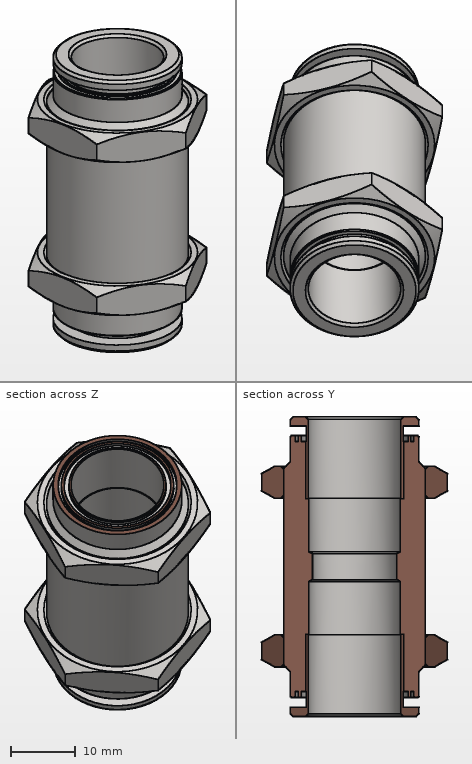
import cadquery as cq
import math

HALF_LENGTH = 23.25

NUT_FLATS = 25.0
NUT_FACE_DIA = 24.85
NUT_HEIGHT = 5.0
NUT_OUTER_Z = HALF_LENGTH - 7.65
NUT_INNER_Z = NUT_OUTER_Z - NUT_HEIGHT
NUT_CORNER_DIA = NUT_FLATS / math.cos(math.radians(30))
NUT_BEVEL_ANGLE = 30.0
NUT_MOUTH_DIA = 22.85

BARREL_DIA = 22.0
END_DIA = 20.0
BARREL_END_Z = HALF_LENGTH - 6.98
HOUSING_END_Z = HALF_LENGTH - 2.95
END_CHAMFER = 0.2
PASSAGE_DIA = 13.0
TUBE_SEAT_DIA = 14.15
TUBE_SEAT_Z = 2.32
TUBE_SEAT_SLOPE = 30.0
MOUTH_DIA = 16.5
MOUTH_DEPTH = 0.95
GROOVE_INNER_DIA = 17.5
GROOVE_OUTER_DIA = 18.3
GROOVE_DEPTH = 0.95

COLLET_BORE_DIA = 14.3
COLLET_NECK_DIA = 15.1
COLLET_MOUTH_DIA = 15.2
FLANGE_DIA = 20.0
FLANGE_THICKNESS = 1.5
FLANGE_CHAMFER = 0.45
COLLET_INNER_Z = NUT_INNER_Z


def revolve_profile(points):
    """Revolve a closed outline of (radius, height) points about Z."""
    return cq.Workplane("XZ").polyline(points).close().revolve(360, (0, 0), (0, 1))


def make_housing():
    """Symmetric tube with stepped, grooved ends, collet sockets and conical tube seats."""
    barrel_radius = BARREL_DIA / 2
    end_radius = END_DIA / 2
    shoulder_z = BARREL_END_Z - (barrel_radius - end_radius)
    seat_drop = (TUBE_SEAT_DIA - PASSAGE_DIA) / 2 * math.tan(math.radians(TUBE_SEAT_SLOPE))
    upper_outline = [
        (barrel_radius, shoulder_z),
        (end_radius, BARREL_END_Z),
        (end_radius, HOUSING_END_Z - END_CHAMFER),
        (end_radius - END_CHAMFER, HOUSING_END_Z),
        (GROOVE_OUTER_DIA / 2, HOUSING_END_Z),
        (GROOVE_OUTER_DIA / 2, HOUSING_END_Z - GROOVE_DEPTH),
        (GROOVE_INNER_DIA / 2, HOUSING_END_Z - GROOVE_DEPTH),
        (GROOVE_INNER_DIA / 2, HOUSING_END_Z),
        (MOUTH_DIA / 2, HOUSING_END_Z),
        (MOUTH_DIA / 2, HOUSING_END_Z - MOUTH_DEPTH),
        (COLLET_NECK_DIA / 2, HOUSING_END_Z - MOUTH_DEPTH),
        (COLLET_NECK_DIA / 2, COLLET_INNER_Z),
        (TUBE_SEAT_DIA / 2, COLLET_INNER_Z),
        (TUBE_SEAT_DIA / 2, TUBE_SEAT_Z),
        (PASSAGE_DIA / 2, TUBE_SEAT_Z - seat_drop),
    ]
    lower_outline = [(radius, -z) for radius, z in reversed(upper_outline)]
    return revolve_profile(upper_outline + lower_outline)


def make_nut():
    """Upper hex nut with both faces bevelled and the bore chamfered at each end."""
    face_radius = NUT_FACE_DIA / 2
    corner_radius = NUT_CORNER_DIA / 2
    bore_radius = BARREL_DIA / 2
    mouth_radius = NUT_MOUTH_DIA / 2
    bevel_drop = (corner_radius - face_radius) * math.tan(math.radians(NUT_BEVEL_ANGLE))
    bore_chamfer = mouth_radius - bore_radius
    turned_blank = revolve_profile([
        (bore_radius, NUT_INNER_Z + bore_chamfer),
        (mouth_radius, NUT_INNER_Z),
        (face_radius, NUT_INNER_Z),
        (corner_radius, NUT_INNER_Z + bevel_drop),
        (corner_radius, NUT_OUTER_Z - bevel_drop),
        (face_radius, NUT_OUTER_Z),
        (mouth_radius, NUT_OUTER_Z),
        (bore_radius, NUT_OUTER_Z - bore_chamfer),
    ])
    hexagon = (
        cq.Workplane("XY")
        .workplane(offset=NUT_INNER_Z)
        .polygon(6, NUT_CORNER_DIA)
        .extrude(NUT_HEIGHT)
    )
    return hexagon.intersect(turned_blank)


def make_collet():
    """Upper release collet: a sleeve with a flange standing off the housing end."""
    neck_radius = COLLET_NECK_DIA / 2
    flange_radius = FLANGE_DIA / 2
    bore_radius = COLLET_BORE_DIA / 2
    mouth_radius = COLLET_MOUTH_DIA / 2
    flange_z = HALF_LENGTH - FLANGE_THICKNESS
    return revolve_profile([
        (bore_radius, COLLET_INNER_Z),
        (neck_radius, COLLET_INNER_Z),
        (neck_radius, flange_z),
        (flange_radius, flange_z),
        (flange_radius, HALF_LENGTH - FLANGE_CHAMFER),
        (flange_radius - FLANGE_CHAMFER, HALF_LENGTH),
        (mouth_radius, HALF_LENGTH),
        (bore_radius, HALF_LENGTH - (mouth_radius - bore_radius)),
    ])


housing = make_housing()
bodies = [housing.val()]
for make_end_body in (make_nut, make_collet):
    upper = make_end_body()
    for body in (upper, upper.mirror("XY")):
        bodies.append(body.val())

result = cq.Compound.makeCompound(bodies)